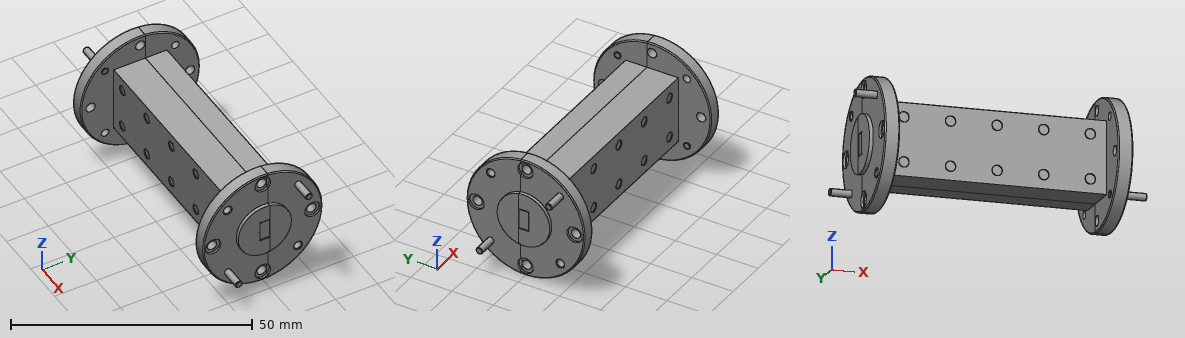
import cadquery as cq
import math

overall_length = 63.6
flange_diameter = 28.6
flange_thickness = 3.25
flange_outer_x = 27.1
flange_edge_chamfer = 0.25
boss_diameter = 12.7
boss_height = 0.8

block_width = 12.7
block_height = 15.9
flange_inner_x = flange_outer_x - flange_thickness
boss_face_x = flange_outer_x + boss_height

port_width = 2.4
port_height = 4.8
port_depth = 0.25
split_y = port_width / 2

bolt_circle_radius = 11.9
bolt_hole_diameter = 2.2
counterbore_diameter = 3.7
counterbore_depth = 0.5
bolt_angles = (0, 90, 180, 270)

pin_diameter = 1.6
pin_chamfer = 0.16
open_hole_diameter = 1.8
open_hole_chamfer = 0.2
pin_angles = {-1: (135, 315), 1: (45, 225)}

recess_diameter = 2.2
recess_depth = 0.25
recess_columns = 5
recess_column_spacing = 10.2
recess_row_spacing = 9.75


def x_cylinder(diameter, start_x, end_x, y=0.0, z=0.0):
    """Round bar along X between two stations."""
    return (
        cq.Workplane("YZ", origin=(start_x, y, z))
        .circle(diameter / 2)
        .extrude(end_x - start_x)
    )


def on_bolt_circle(angle):
    """Y and Z of a point on the bolt circle, with the angle measured from +Y toward +Z."""
    turn = math.radians(angle)
    return bolt_circle_radius * math.cos(turn), bolt_circle_radius * math.sin(turn)


def open_pin_hole(side, angle):
    """Volume of a pin hole that flares out at the outer flange face."""
    y, z = on_bolt_circle(angle)
    outer_x = side * flange_outer_x
    mouth = (
        cq.Workplane("YZ", origin=(outer_x, y, z))
        .circle(open_hole_diameter / 2 + open_hole_chamfer)
        .workplane(offset=-side * open_hole_chamfer)
        .circle(open_hole_diameter / 2)
        .loft()
    )
    return x_cylinder(open_hole_diameter, side * flange_inner_x, outer_x, y, z).union(mouth)


def make_flange(side):
    """Round flange with its raised boss and holes; side is -1 or +1 along X."""
    inner_x = side * flange_inner_x
    outer_x = side * flange_outer_x
    flange = x_cylinder(flange_diameter, inner_x, outer_x).edges().chamfer(flange_edge_chamfer)
    flange = flange.union(x_cylinder(boss_diameter, inner_x, side * boss_face_x))
    for angle in bolt_angles:
        y, z = on_bolt_circle(angle)
        counterbore_floor_x = outer_x - side * counterbore_depth
        flange = flange.cut(x_cylinder(bolt_hole_diameter, inner_x, outer_x, y, z))
        flange = flange.cut(x_cylinder(counterbore_diameter, counterbore_floor_x, outer_x, y, z))
    for angle in pin_angles[side]:
        y, z = on_bolt_circle(angle)
        flange = flange.cut(x_cylinder(pin_diameter, inner_x, outer_x, y, z))
    for angle in pin_angles[-side]:
        flange = flange.cut(open_pin_hole(side, angle))
    return flange


def make_port(side):
    """Volume of the shallow rectangular waveguide port in one boss face."""
    port_x = side * (boss_face_x - port_depth / 2)
    return cq.Workplane("XY", origin=(port_x, 0, 0)).box(port_depth, port_width, port_height)


def make_flanged_body():
    """Block and both flanges before they are split into two halves."""
    body = cq.Workplane("XY").box(2 * flange_inner_x, block_width, block_height)
    for side in (-1, 1):
        body = body.union(make_flange(side)).cut(make_port(side))
    return body


def half_space(y_side):
    """Box that covers everything on one side of the split plane."""
    depth = flange_diameter
    centre_y = split_y + y_side * depth / 2
    return cq.Workplane("XY", origin=(0, centre_y, 0)).box(overall_length, depth, 2 * flange_diameter)


def make_front_half():
    """Half on the -Y side, with the ports and the screw recesses."""
    recesses = (
        cq.Workplane("XZ", origin=(0, -block_width / 2, 0))
        .rarray(recess_column_spacing, recess_row_spacing, recess_columns, 2)
        .circle(recess_diameter / 2)
        .extrude(-recess_depth)
    )
    return make_flanged_body().intersect(half_space(-1)).cut(recesses)


def make_back_half():
    """Plain half on the +Y side."""
    return make_flanged_body().intersect(half_space(1))


def make_pin(side, angle):
    """Alignment pin, flush with the inner flange face and chamfered at both ends."""
    y, z = on_bolt_circle(angle)
    inner_x = side * flange_inner_x
    tip_x = side * overall_length / 2
    return x_cylinder(pin_diameter, inner_x, tip_x, y, z).faces("<X or >X").chamfer(pin_chamfer)


front_half = make_front_half()
back_half = make_back_half()

pins = []
for flange_side in (-1, 1):
    for pin_angle in pin_angles[flange_side]:
        pins.append(make_pin(flange_side, pin_angle).val())

result = cq.Compound.makeCompound([front_half.val(), back_half.val(), *pins])